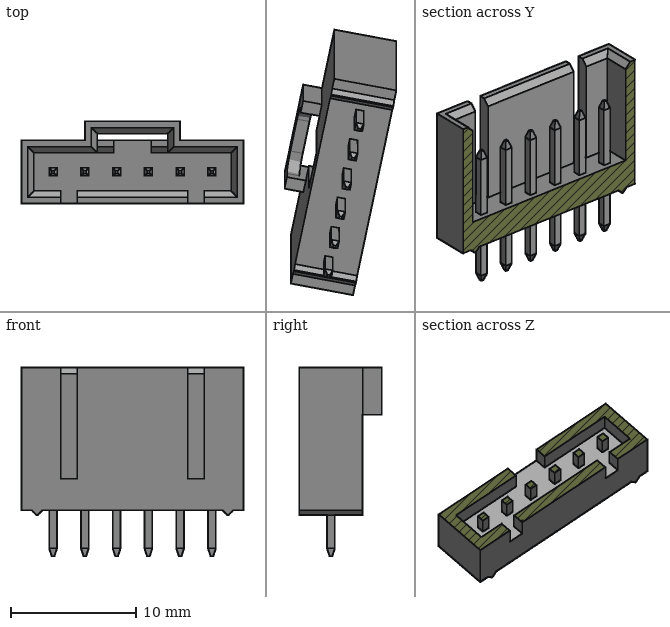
import cadquery as cq


body_width = 17.78
body_depth = 5.07
body_height = 11.43
wall = 1.01
cavity_depth = 8.89
floor_z = body_height - cavity_depth
back_y = body_depth / 2
inner_y = back_y - wall

lip = 0.5
lip_drop = 0.52

key_width = 7.63
key_projection = 1.53
key_height = 3.8
key_bottom_z = body_height - key_height
key_inner_width = key_width - 2 * wall
key_back_y = back_y + key_projection

notch_top_gap = 1.51
notch_radius = 1.42

back_window_width = 3.02
slot_width = 1.3

pin_count = 6
pitch = body_width / (pin_count + 1)
pin_size = 0.64
pin_tip_size = 0.21
pin_taper = 0.64
pin_bottom_z = -3.68
pin_contact_length = 5.69
pin_top_z = floor_z + pin_contact_length

slot_x = (pin_count / 2 - 1) * pitch

rib_x = (body_width - pitch) / 2
rib_depth = 0.37
rib_flat = 0.1
rib_width = rib_flat + 2 * rib_depth


def block(width, y_min, y_max, z_min, z_max, x_center=0.0):
    """Box centred on x_center in X, spanning the given Y and Z ranges."""
    corner = (x_center - width / 2, y_min, z_min)
    return cq.Workplane("XY").box(width, y_max - y_min, z_max - z_min, centered=False).translate(corner)


def mouth_outline(inset):
    """Body-and-key outline moved inwards by inset, drawn on the top plane."""
    half_body = body_width / 2 - inset
    half_key = key_width / 2 - inset
    front = -back_y + inset
    back = back_y - inset
    key_back = key_back_y - inset
    return cq.Wire.makePolygon(
        [
            cq.Vector(x, y, body_height)
            for x, y in [
                (-half_body, front),
                (half_body, front),
                (half_body, back),
                (half_key, back),
                (half_key, key_back),
                (-half_key, key_back),
                (-half_key, back),
                (-half_body, back),
            ]
        ],
        close=True,
    )


def make_lead_in():
    """Sloping mouth, narrowing by the lip width on its way down."""
    lower = mouth_outline(wall).translate(cq.Vector(0, 0, -lip_drop))
    return cq.Workplane(cq.Solid.makeLoft([mouth_outline(wall - lip), lower], True))


def make_key_notch():
    """Notch across the key box interior, open downwards, with rounded top corners."""
    notch_top_z = body_height - notch_top_gap
    notch = block(key_inner_width, back_y, key_back_y, key_bottom_z, notch_top_z)
    return notch.edges("|Y and >Z").fillet(notch_radius)


def make_housing():
    housing = block(body_width, -back_y, back_y, 0, body_height)
    housing = housing.union(block(key_width, inner_y, key_back_y, key_bottom_z, body_height))

    housing = housing.cut(block(body_width - 2 * wall, -inner_y, inner_y, floor_z, body_height))
    housing = housing.cut(block(key_inner_width, 0, key_back_y - wall, key_bottom_z, body_height))
    housing = housing.cut(make_lead_in())
    housing = housing.cut(make_key_notch())

    sill_bevel = (
        cq.Workplane("YZ")
        .moveTo(inner_y, key_bottom_z)
        .lineTo(inner_y + lip, key_bottom_z)
        .lineTo(inner_y, key_bottom_z - lip_drop)
        .close()
        .extrude(key_inner_width / 2, both=True)
    )
    housing = housing.cut(sill_bevel)

    housing = housing.cut(block(back_window_width, 0, back_y, floor_z, key_bottom_z))
    for x in (-slot_x, slot_x):
        housing = housing.cut(block(slot_width, -back_y, 0, floor_z, body_height, x))
    return housing


def make_rib(x):
    """Blunt 45 degree ridge running the full depth of the body."""
    return (
        cq.Workplane("XZ", origin=(x, 0, 0))
        .moveTo(-rib_width / 2, 0)
        .lineTo(rib_width / 2, 0)
        .lineTo(rib_flat / 2, -rib_depth)
        .lineTo(-rib_flat / 2, -rib_depth)
        .close()
        .extrude(back_y, both=True)
    )


def make_pin(x):
    """Square pin through the floor, tapered at both ends."""
    shank_bottom_z = pin_bottom_z + pin_taper
    shank_top_z = pin_top_z - pin_taper
    pin = block(pin_size, -pin_size / 2, pin_size / 2, shank_bottom_z, shank_top_z, x)
    for base_z, direction in ((shank_bottom_z, -1), (shank_top_z, 1)):
        tip = (
            cq.Workplane("XY", origin=(x, 0, base_z))
            .rect(pin_size, pin_size)
            .workplane(offset=direction * pin_taper)
            .rect(pin_tip_size, pin_tip_size)
            .loft(ruled=True)
        )
        pin = pin.union(tip)
    return pin


result = make_housing()
for side in (-1, 1):
    result = result.union(make_rib(side * rib_x))
for index in range(pin_count):
    result = result.union(make_pin((index - (pin_count - 1) / 2) * pitch))